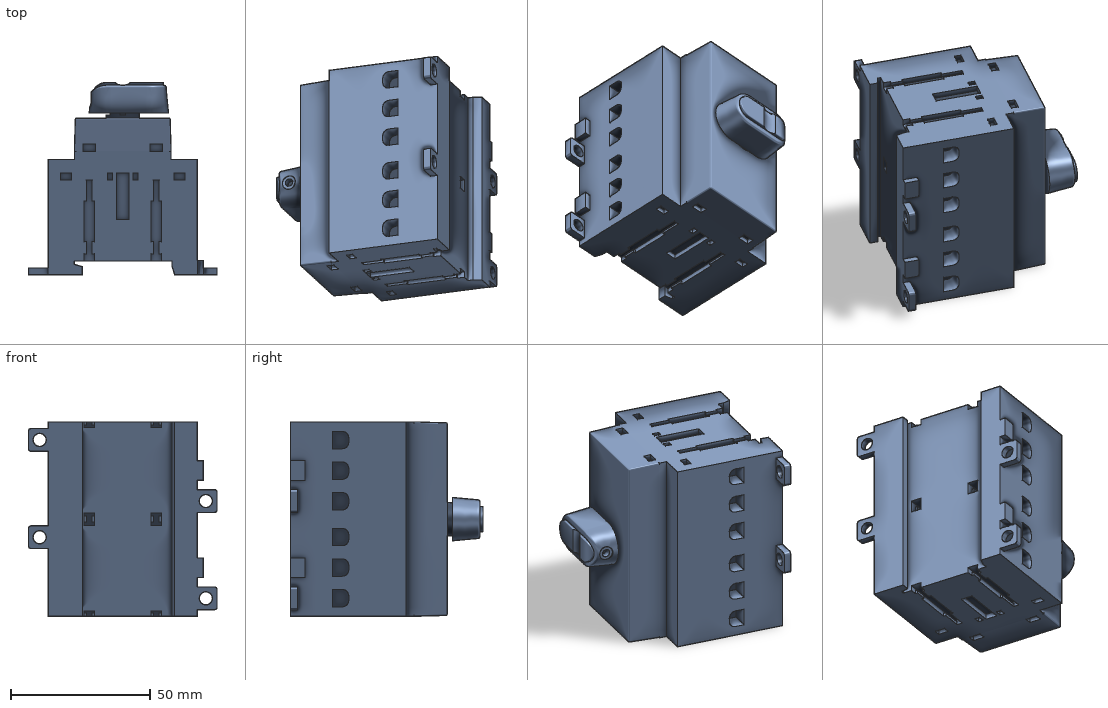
import cadquery as cq


LENGTH = 70.0
HALF_LENGTH = LENGTH / 2
HALF_WIDTH = 26.8
SHOULDER_Y = 41.6
NECK_HALF_WIDTH = 17.4
COVER_BASE_Y = 44.45
COVER_TOP_Y = 56.4
COVER_DRAFT = 1.6
COVER_EDGE_RADIUS = 0.55

CHANNEL_DEPTH = 5.0
CHANNEL_LEFT_X = -NECK_HALF_WIDTH
HOOK_TIP_X = -14.5
HOOK_TIP_Y = 3.0
HOOK_ROOT_Y = 3.85
CHANNEL_RIGHT_X = 17.7
CHANNEL_MOUTH_X = 18.7

LUG_SPAN = 68.0
LUG_TIP_X = LUG_SPAN / 2
LUG_THICKNESS = 2.6
LUG_WIDTH = 8.25
LUG_CORNER_RADIUS = 1.05
LUG_HOLE_DIAMETER = 4.6
LUG_HOLE_X = 29.9
LUG_PITCH = 35.0
LEFT_LUG_TOP_Z = 28.5
LEFT_LUG_Z = [LEFT_LUG_TOP_Z, LEFT_LUG_TOP_Z - LUG_PITCH]
RIGHT_LUG_Z = [-z for z in LEFT_LUG_Z]
TAB_TIP_X = 29.0
TAB_HEIGHT = 5.25
TAB_WIDTH = 7.1
TAB_OFFSET_Z = LUG_PITCH / 2

RECESS_DEPTH = 2.0
RECESS_TOP_Y = 36.6
SMALL_RECESS_HEIGHT = 2.4
OUTER_RECESS_X = 20.45
OUTER_RECESS_WIDTH = 3.9
INNER_RECESS_X = 4.55
INNER_RECESS_WIDTH = 1.8
CENTRE_RECESS_WIDTH = 4.5
CENTRE_RECESS_HEIGHT = 16.7
COVER_RECESS_WIDTH = 4.5
COVER_RECESS_HEIGHT = 2.65

SLOT_X = 12.05
SLOT_WIDE = 3.9
SLOT_NARROW = 2.1
SLOT_LIP_DEPTH = 1.2
LOWER_LIP_BOTTOM_Y = 7.55
LOWER_LIP_TOP_Y = 12.0
UPPER_LIP_BOTTOM_Y = 26.6
SLOT_TOP_Y = 34.2
MID_SLOT_HALF_DEPTH = 2.25
MID_LIP_HALF_DEPTH = 1.05

TERMINAL_PITCH = 11.0
TERMINAL_GROUP_Z = 17.4
TERMINAL_BOTTOM_Y = 15.2
TERMINAL_TOP_Y = 21.0
TERMINAL_WIDTH = 6.2
TERMINAL_RADIUS = 2.4
TERMINAL_DEPTH = 7.0

COLLAR_RADIUS = 6.0
COLLAR_STEP_Y = 57.6
COLLAR_FLAT_X = -4.55
COLLAR_NOTCH_WIDTH = 2.1
COLLAR_NOTCH_DEPTH = 0.3
KNOB_BASE_Y = 58.25
KNOB_DECK_Y = 68.25
KNOB_TOP_Y = 69.3
KNOB_RADIUS = 7.85
KNOB_LEFT_CENTRE_X = -4.3
KNOB_RIGHT_CENTRE_X = 8.7
KNOB_DRAFT = 5.3
KNOB_RIM_RADIUS = 0.9
NOSE_START_X = -5.6
NOSE_END = (-11.55, 65.65)
PAD_RADIUS = 4.55
PAD_EDGE_RADIUS = 0.3
PAD_LEFT_X = -10.1
PAD_RIGHT_X = 14.6
PAD_NOSE_END = (-10.1, 67.2)
GROOVE_HALF_WIDTH = 2.9
EYE_Y = 62.8
EYE_RADIUS = 2.5
EYE_FACE_X = -11.4
EYE_HOLE_RADIUS = 1.4
EYE_HOLE_DEPTH = 2.8

CLEARANCE = 7.0


def block(x_range, y_range, z_range):
    """Box between the given limits along each axis."""
    (x0, x1), (y0, y1), (z0, z1) = x_range, y_range, z_range
    corner = cq.Vector(x0, y0, z0)
    return cq.Workplane(cq.Solid.makeBox(x1 - x0, y1 - y0, z1 - z0, corner))


def centred(middle, size):
    """Limits of a span of the given size about its middle."""
    return (middle - size / 2, middle + size / 2)


def plane_at_y(y):
    """Sketch plane at height y with local axes X and -Z, extruding toward +Y."""
    return cq.Workplane(cq.Plane(origin=(0, y, 0), xDir=(1, 0, 0), normal=(0, 1, 0)))


def both_ends(shape):
    """The shape together with its mirror image at the opposite end face."""
    return shape.add(shape.mirror("XY"))



def housing_block():
    """Stepped block with the hooked rail channel along its whole length."""
    return (
        cq.Workplane("XY", origin=(0, 0, -HALF_LENGTH))
        .moveTo(-HALF_WIDTH, 0)
        .lineTo(HOOK_TIP_X, 0)
        .lineTo(HOOK_TIP_X, HOOK_TIP_Y)
        .lineTo(CHANNEL_LEFT_X, HOOK_ROOT_Y)
        .lineTo(CHANNEL_LEFT_X, CHANNEL_DEPTH)
        .lineTo(CHANNEL_RIGHT_X, CHANNEL_DEPTH)
        .lineTo(CHANNEL_RIGHT_X, HOOK_TIP_Y)
        .lineTo(CHANNEL_MOUTH_X, 0)
        .lineTo(HALF_WIDTH, 0)
        .lineTo(HALF_WIDTH, SHOULDER_Y)
        .lineTo(NECK_HALF_WIDTH, SHOULDER_Y)
        .lineTo(NECK_HALF_WIDTH, COVER_BASE_Y)
        .lineTo(-NECK_HALF_WIDTH, COVER_BASE_Y)
        .lineTo(-NECK_HALF_WIDTH, SHOULDER_Y)
        .lineTo(-HALF_WIDTH, SHOULDER_Y)
        .close()
        .extrude(LENGTH)
    )


def cover():
    """Drafted cover with rounded edges on top of the block."""
    return (
        plane_at_y(COVER_BASE_Y)
        .rect(2 * NECK_HALF_WIDTH, LENGTH)
        .extrude(COVER_TOP_Y - COVER_BASE_Y, taper=COVER_DRAFT)
        .edges("not <Y")
        .fillet(COVER_EDGE_RADIUS)
    )


def lug(side, z):
    """Screw lug on the side given by side = -1 or +1, centred at z."""
    reach = (side * (HALF_WIDTH - 2 * LUG_CORNER_RADIUS), side * LUG_TIP_X)
    plate = block((min(reach), max(reach)), (0, LUG_THICKNESS), centred(z, LUG_WIDTH))
    plate = plate.edges("|Y").fillet(LUG_CORNER_RADIUS)
    hole = (
        plane_at_y(-CLEARANCE)
        .center(side * LUG_HOLE_X, -z)
        .circle(LUG_HOLE_DIAMETER / 2)
        .extrude(LUG_THICKNESS + 2 * CLEARANCE)
    )
    return plate.cut(hole)


def tab(z):
    """Plain tab on the +X side, centred at z."""
    return block((HALF_WIDTH, TAB_TIP_X), (0, TAB_HEIGHT), centred(z, TAB_WIDTH))


def end_recess(x, width, y_range):
    """Rectangular recess at x in both end faces."""
    z_range = (HALF_LENGTH - RECESS_DEPTH, HALF_LENGTH + CLEARANCE)
    return both_ends(block(centred(x, width), y_range, z_range))


def keyed_slot(x, z_range, lip_range):
    """Slot open to the rail channel; lips narrow it along two stretches within lip_range."""
    slot = block(centred(x, SLOT_WIDE), (0, SLOT_TOP_Y), z_range)
    passage = block(centred(x, SLOT_NARROW), (0, SLOT_TOP_Y), z_range)
    for y_range in ((LOWER_LIP_BOTTOM_Y, LOWER_LIP_TOP_Y), (UPPER_LIP_BOTTOM_Y, SLOT_TOP_Y)):
        lips = block(centred(x, SLOT_WIDE), y_range, lip_range)
        slot = slot.cut(lips.cut(passage))
    return slot


def terminal_opening(z):
    """Opening with two rounded upper corners, in the -X side."""
    y_range = (TERMINAL_BOTTOM_Y, TERMINAL_TOP_Y)
    x_range = (-HALF_WIDTH - CLEARANCE, -HALF_WIDTH + TERMINAL_DEPTH)
    opening = block(x_range, y_range, centred(z, TERMINAL_WIDTH))
    return opening.edges("|X and >Y").fillet(TERMINAL_RADIUS)


def build_housing():
    body = housing_block().union(cover())

    for z in LEFT_LUG_Z:
        body = body.union(lug(-1, z))
    for z in RIGHT_LUG_Z:
        body = body.union(lug(1, z))
    for z in (TAB_OFFSET_Z, -TAB_OFFSET_Z):
        body = body.union(tab(z))

    small_range = (RECESS_TOP_Y - SMALL_RECESS_HEIGHT, RECESS_TOP_Y)
    centre_range = (RECESS_TOP_Y - CENTRE_RECESS_HEIGHT, RECESS_TOP_Y)
    cover_range = (COVER_BASE_Y, COVER_BASE_Y + COVER_RECESS_HEIGHT)
    body = body.cut(end_recess(0, CENTRE_RECESS_WIDTH, centre_range))
    for side in (-1, 1):
        body = body.cut(end_recess(side * OUTER_RECESS_X, OUTER_RECESS_WIDTH, small_range))
        body = body.cut(end_recess(side * INNER_RECESS_X, INNER_RECESS_WIDTH, small_range))
        body = body.cut(end_recess(side * SLOT_X, COVER_RECESS_WIDTH, cover_range))

    end_slot = (HALF_LENGTH - RECESS_DEPTH, HALF_LENGTH + CLEARANCE)
    end_lip = (HALF_LENGTH - SLOT_LIP_DEPTH, HALF_LENGTH + CLEARANCE)
    mid_slot = (-MID_SLOT_HALF_DEPTH, MID_SLOT_HALF_DEPTH)
    mid_lip = (-MID_LIP_HALF_DEPTH, MID_LIP_HALF_DEPTH)
    for x in (-SLOT_X, SLOT_X):
        body = body.cut(both_ends(keyed_slot(x, end_slot, end_lip)))
        body = body.cut(keyed_slot(x, mid_slot, mid_lip))

    for group_z in (-TERMINAL_GROUP_Z, TERMINAL_GROUP_Z):
        for step in (-1, 0, 1):
            opening = terminal_opening(group_z + step * TERMINAL_PITCH)
            body = body.cut(opening).cut(opening.mirror("YZ"))
    return body



def stadium(y, left_x, right_x, radius):
    """Round-ended outline at height y; left_x and right_x are the arc centres."""
    middle = (left_x + right_x) / 2
    length = right_x - left_x + 2 * radius
    return plane_at_y(y).center(middle, 0).slot2D(length, 2 * radius)


def nose_profile(top_y, nose_end):
    """Side profile below top_y whose -X end curves down to nose_end, extruded across the knob."""
    end_x, end_y = nose_end
    far_x = KNOB_RIGHT_CENTRE_X + 2 * KNOB_RADIUS
    return (
        cq.Workplane("XY")
        .moveTo(far_x, COVER_TOP_Y)
        .lineTo(far_x, top_y)
        .lineTo(NOSE_START_X, top_y)
        .tangentArcPoint(nose_end, relative=False)
        .lineTo(end_x - CLEARANCE, end_y - CLEARANCE)
        .lineTo(end_x - CLEARANCE, COVER_TOP_Y)
        .close()
        .extrude(2 * KNOB_RADIUS, both=True)
    )


def grip():
    """Drafted round-ended grip with a curved nose toward -X and a rounded upper rim."""
    body = (
        stadium(KNOB_BASE_Y, KNOB_LEFT_CENTRE_X, KNOB_RIGHT_CENTRE_X, KNOB_RADIUS)
        .extrude(KNOB_DECK_Y - KNOB_BASE_Y, taper=KNOB_DRAFT)
        .intersect(nose_profile(KNOB_DECK_Y, NOSE_END))
    )
    far_side = 2 * KNOB_RADIUS
    rim_zone = cq.selectors.BoxSelector(
        (NOSE_START_X, KNOB_DECK_Y - KNOB_RIM_RADIUS, -far_side),
        (far_side, KNOB_TOP_Y, far_side),
    )
    return body.edges(rim_zone).edges("not |Z").fillet(KNOB_RIM_RADIUS)


def top_pad():
    """Raised pad along the grip, following its nose, parted by a round groove."""
    base_y = PAD_NOSE_END[1] - PAD_RADIUS / 2
    pad = (
        stadium(base_y, PAD_LEFT_X + PAD_RADIUS, PAD_RIGHT_X - PAD_RADIUS, PAD_RADIUS)
        .extrude(KNOB_TOP_Y - base_y)
        .intersect(nose_profile(KNOB_TOP_Y, PAD_NOSE_END))
        .faces(">Y")
        .edges("not |Z")
        .fillet(PAD_EDGE_RADIUS)
    )
    groove = (
        cq.Workplane("XY")
        .moveTo(-GROOVE_HALF_WIDTH, KNOB_TOP_Y)
        .threePointArc((0, KNOB_DECK_Y), (GROOVE_HALF_WIDTH, KNOB_TOP_Y))
        .close()
        .extrude(2 * PAD_RADIUS, both=True)
    )
    return pad.cut(groove)


def collar():
    """Round collar standing on the cover, with a flat and a notch in its upper step."""
    ring = plane_at_y(COVER_TOP_Y).circle(COLLAR_RADIUS).extrude(KNOB_BASE_Y - COVER_TOP_Y)
    step = (COLLAR_STEP_Y, KNOB_BASE_Y)
    flat = block((-2 * COLLAR_RADIUS, COLLAR_FLAT_X), step, centred(0, 2 * COLLAR_RADIUS))
    notch_z = (COLLAR_RADIUS - COLLAR_NOTCH_DEPTH, COLLAR_RADIUS + CLEARANCE)
    notch = block(centred(0, COLLAR_NOTCH_WIDTH), step, notch_z)
    return ring.cut(flat).cut(notch)


def add_eye(body):
    """Flat round face in the nose of the body, with a blind hole in its middle."""
    face_plane = cq.Workplane(
        cq.Plane(origin=(EYE_FACE_X, EYE_Y, 0), xDir=(0, 1, 0), normal=(-1, 0, 0)))
    boss = face_plane.circle(EYE_RADIUS).extrude(-EYE_HOLE_DEPTH)
    spot_face = face_plane.circle(EYE_RADIUS).extrude(CLEARANCE)
    hole = face_plane.circle(EYE_HOLE_RADIUS).extrude(-EYE_HOLE_DEPTH)
    return body.union(boss).cut(spot_face).cut(hole)


def build_knob():
    return add_eye(grip().union(top_pad())).union(collar())


housing = build_housing()
knob = build_knob()
result = cq.Compound.makeCompound([housing.val(), knob.val()])